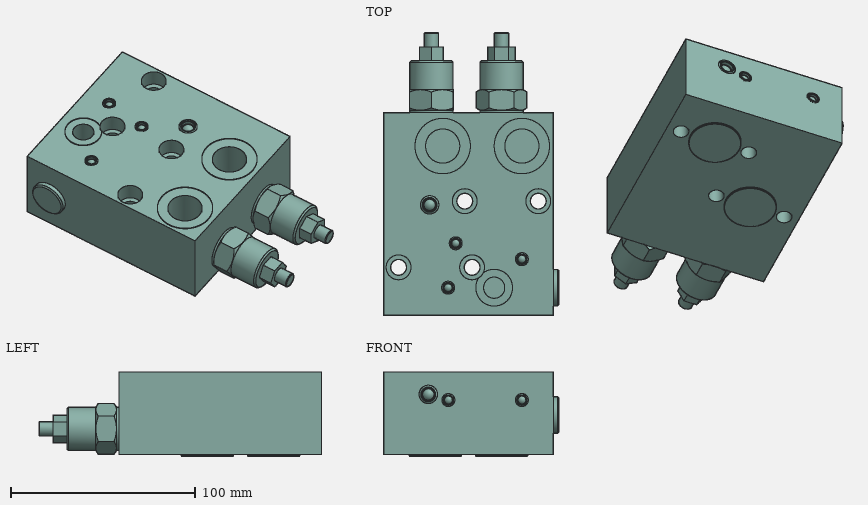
import cadquery as cq
import math

BLOCK_X = 92.0
BLOCK_Y = 110.0
BLOCK_Z = 45.0

OVERALL_X = 95.1
OVERALL_Y = 153.4
OVERALL_Z = 45.9

CARTRIDGE_Z = 14.0
LEFT_CARTRIDGE_X = 26.0
RIGHT_CARTRIDGE_X = 64.0
BODY_DIAMETER = 23.6
BODY_CHAMFER = 0.9
HEX_SIDES = 6
HEX_FLATS = 24.0
COLLAR_LENGTH = 1.2
HEX_LENGTH = 11.4
BODY_LENGTH = 15.6
HEX_CORNER_CHAMFER = 1.4
LOCKNUT_FLATS = 13.0
LOCKNUT_LENGTH = 7.5
STEM_DIAMETER = 8.0
STEM_CHAMFER = 0.5

MAIN_PORT_POINTS = [(32.0, 91.9), (75.0, 91.9)]
MAIN_RECESS_DIAMETER = 30.0
MAIN_BORE_DIAMETER = 18.5
PILOT_PORT_POINTS = [(60.0, 15.0)]
PILOT_RECESS_DIAMETER = 20.0
PILOT_BORE_DIAMETER = 11.5
RECESS_DEPTH = 0.5
PORT_DEPTH = 23.0

MOUNT_PITCH = 39.9
FRONT_MOUNT = (8.1, 26.1)
REAR_MOUNT = (44.0, 62.0)
MOUNT_HOLE_DIAMETER = 8.5
MOUNT_HEAD_DIAMETER = 13.5
MOUNT_HEAD_DEPTH = 10.0

TOP_LARGE_PLUGS = [(25.0, 60.0)]
TOP_SMALL_PLUGS = [(39.1, 39.1), (75.0, 30.5), (35.0, 15.0)]
FRONT_LARGE_PLUGS = [(24.2, 32.7)]
FRONT_SMALL_PLUGS = [(35.1, 29.6), (75.0, 29.6)]
LARGE_PLUG_DIAMETERS = (10.0, 8.0, 7.0, 6.1)
SMALL_PLUG_DIAMETERS = (7.0, 5.7, 4.9, 4.3)
BALL_TOP_DEPTH = 0.2
BALL_EDGE_SLOPE = 60.0

CAP_Y = 15.0
CAP_Z = 21.5
CAP_DIAMETER = 20.0
CAP_CHAMFER = 0.8

PAD_DIAMETER = 28.5
PAD_CHAMFER = 0.3


def cylinder_along_y(x, y, diameter, length):
    plane = cq.Plane(origin=(x, y, CARTRIDGE_Z), xDir=(1, 0, 0), normal=(0, 1, 0))
    return cq.Workplane(plane).circle(diameter / 2).extrude(length)


def corner_diameter(flats):
    return flats / math.cos(math.pi / HEX_SIDES)


def hexagon_along_y(x, y, flats, length, corner_direction):
    plane = cq.Plane(origin=(x, y, CARTRIDGE_Z), xDir=corner_direction, normal=(0, 1, 0))
    return cq.Workplane(plane).polygon(HEX_SIDES, corner_diameter(flats)).extrude(length)


def hex_envelope(x, y):
    """Round bar with coned ends that trims the corners of the main hexagon."""
    corner_radius = corner_diameter(HEX_FLATS) / 2
    end_radius = BODY_DIAMETER / 2
    return (
        cq.Workplane("XY")
        .lineTo(end_radius, 0)
        .lineTo(corner_radius, HEX_CORNER_CHAMFER)
        .lineTo(corner_radius, HEX_LENGTH - HEX_CORNER_CHAMFER)
        .lineTo(end_radius, HEX_LENGTH)
        .lineTo(0, HEX_LENGTH)
        .close()
        .revolve(360, (0, 0), (0, 1))
        .translate((x, y, CARTRIDGE_Z))
    )


def cartridge(x, corner_direction):
    """Collar, chamfered hexagon, body, locknut and stem stacked outward along +Y."""
    hex_y = BLOCK_Y + COLLAR_LENGTH
    body_y = hex_y + HEX_LENGTH
    locknut_y = body_y + BODY_LENGTH
    stem_y = locknut_y + LOCKNUT_LENGTH

    main_hex = hexagon_along_y(x, hex_y, HEX_FLATS, HEX_LENGTH, corner_direction)
    body = cylinder_along_y(x, body_y, BODY_DIAMETER, BODY_LENGTH)
    stem = cylinder_along_y(x, stem_y, STEM_DIAMETER, OVERALL_Y - stem_y)

    return (
        cylinder_along_y(x, BLOCK_Y, BODY_DIAMETER, COLLAR_LENGTH)
        .union(main_hex.intersect(hex_envelope(x, hex_y)))
        .union(body.faces(">Y").edges().chamfer(BODY_CHAMFER))
        .union(hexagon_along_y(x, locknut_y, LOCKNUT_FLATS, LOCKNUT_LENGTH, corner_direction))
        .union(stem.faces(">Y").edges().chamfer(STEM_CHAMFER))
    )


def cut_ports(block, points, recess_diameter, bore_diameter):
    return (
        block.faces(">Z").workplane(origin=(0, 0, BLOCK_Z))
        .pushPoints(points)
        .cboreHole(bore_diameter, recess_diameter, RECESS_DEPTH, PORT_DEPTH)
    )


def ball_plug_cavity(diameters):
    """Cavity around a plug opening at the origin and running down -Z: groove and space over the ball."""
    mouth, crown, bore, ball = (diameter / 2 for diameter in diameters)
    slope = math.radians(BALL_EDGE_SLOPE)
    ball_radius = ball / math.sin(slope)
    ball_z = -BALL_TOP_DEPTH - ball_radius
    ball_edge_z = ball_z + ball_radius * math.cos(slope)
    ball_shoulder = (
        ball_radius * math.sin(slope / 2),
        ball_z + ball_radius * math.cos(slope / 2),
    )
    space_over_ball = (
        cq.Workplane("XZ")
        .lineTo(bore, 0)
        .lineTo(bore, ball_edge_z)
        .lineTo(ball, ball_edge_z)
        .threePointArc(ball_shoulder, (0, -BALL_TOP_DEPTH))
        .close()
        .revolve(360, (0, 0), (0, 1))
    )
    groove = (
        cq.Workplane("XZ")
        .moveTo(crown, 0)
        .lineTo(mouth, 0)
        .lineTo(mouth, crown - mouth)
        .close()
        .revolve(360, (0, 0), (0, 1))
    )
    return space_over_ball.union(groove)


def cut_top_plugs(block, points, diameters):
    for x, y in points:
        block = block.cut(ball_plug_cavity(diameters).translate((x, y, BLOCK_Z)))
    return block


def cut_front_plugs(block, points, diameters):
    facing_front = ball_plug_cavity(diameters).rotate((0, 0, 0), (1, 0, 0), 90)
    for x, z in points:
        block = block.cut(facing_front.translate((x, 0, z)))
    return block


block = cq.Workplane("XY").box(BLOCK_X, BLOCK_Y, BLOCK_Z, centered=False)
block = cut_ports(block, MAIN_PORT_POINTS, MAIN_RECESS_DIAMETER, MAIN_BORE_DIAMETER)
block = cut_ports(block, PILOT_PORT_POINTS, PILOT_RECESS_DIAMETER, PILOT_BORE_DIAMETER)
mount_points = [
    (x + step, y)
    for x, y in (FRONT_MOUNT, REAR_MOUNT)
    for step in (0, MOUNT_PITCH)
]
block = (
    block.faces(">Z").workplane(origin=(0, 0, BLOCK_Z))
    .pushPoints(mount_points)
    .cboreHole(MOUNT_HOLE_DIAMETER, MOUNT_HEAD_DIAMETER, MOUNT_HEAD_DEPTH)
)

block = cut_top_plugs(block, TOP_LARGE_PLUGS, LARGE_PLUG_DIAMETERS)
block = cut_top_plugs(block, TOP_SMALL_PLUGS, SMALL_PLUG_DIAMETERS)
block = cut_front_plugs(block, FRONT_LARGE_PLUGS, LARGE_PLUG_DIAMETERS)
block = cut_front_plugs(block, FRONT_SMALL_PLUGS, SMALL_PLUG_DIAMETERS)

cap = (
    cq.Workplane("YZ", origin=(BLOCK_X, CAP_Y, CAP_Z))
    .circle(CAP_DIAMETER / 2)
    .extrude(OVERALL_X - BLOCK_X)
    .faces(">X").edges().chamfer(CAP_CHAMFER)
)

pad_height = OVERALL_Z - BLOCK_Z
pads = (
    cq.Workplane("XY")
    .pushPoints([(x + MOUNT_PITCH / 2, y) for x, y in (FRONT_MOUNT, REAR_MOUNT)])
    .circle(PAD_DIAMETER / 2)
    .extrude(-pad_height)
    .faces("<Z").edges().chamfer(PAD_CHAMFER)
)

result = (
    block
    .union(cap)
    .union(pads)
    .union(cartridge(LEFT_CARTRIDGE_X, (0, 0, 1)))
    .union(cartridge(RIGHT_CARTRIDGE_X, (1, 0, 0)))
)